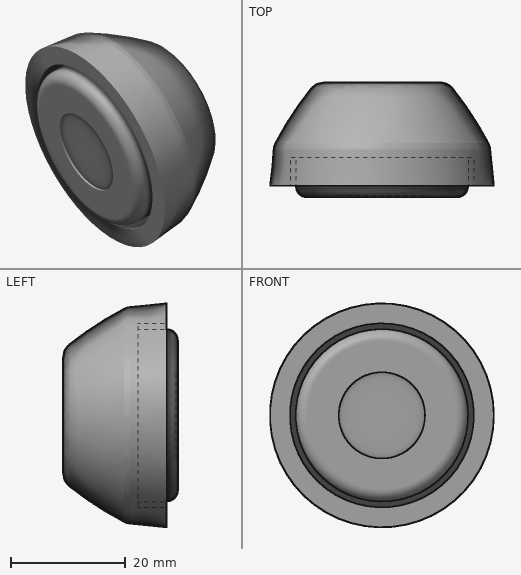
import cadquery as cq

total_depth = 20.0
front_radius = 19.5
shoulder_radius = 18.8
back_radius = 11.43
skirt_start = 2.0
shoulder_depth = 8.9
dome_mid_radius = 15.68
dome_mid_depth = 14.27
body_rounding = 3.0
axis_margin = 0.4

pad_radius = 30.0 / 2
pad_rounding = 2.0
groove_outer_radius = 32.0 / 2
groove_depth = 5.0
recess_radius = 15.0 / 2
recess_depth = 0.4


def disc(radius, start, end):
    """Cylinder about the Y axis between two depths."""
    return cq.Workplane("XZ", origin=(0, end, 0)).circle(radius).extrude(end - start)


def make_body():
    """Tapered skirt and bulged dome, with the shoulder and back rim rounded."""
    profile = (
        cq.Workplane("XY")
        .moveTo(0, skirt_start)
        .lineTo(front_radius, skirt_start)
        .lineTo(shoulder_radius, shoulder_depth)
        .threePointArc((dome_mid_radius, dome_mid_depth), (back_radius, total_depth))
        .lineTo(0, total_depth)
        .close()
    )
    body = profile.revolve(360, (0, 0, 0), (0, 1, 0))
    near_axis = cq.selectors.BoxSelector(
        (-axis_margin, skirt_start + axis_margin, -axis_margin),
        (axis_margin, total_depth + axis_margin, axis_margin),
    )
    return body.edges(near_axis).fillet(body_rounding)


def make_pad():
    """Raised front pad with a rounded rim, rooted in the groove floor."""
    pad = disc(pad_radius, 0, skirt_start + groove_depth)
    return pad.faces("<Y").edges().fillet(pad_rounding)


groove_and_pad_space = disc(groove_outer_radius, skirt_start, skirt_start + groove_depth)
front_recess = disc(recess_radius, 0, recess_depth)

result = make_body().cut(groove_and_pad_space).union(make_pad()).cut(front_recess)